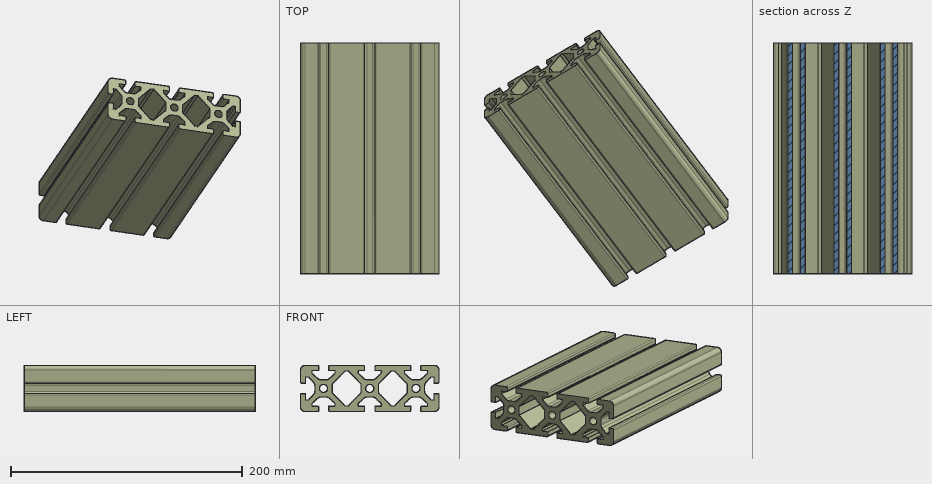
import cadquery as cq

length = 200.0
cell = 40.0
cell_count = 3
width = cell_count * cell
height = cell
corner_radius = 4.0

lip_thickness = 4.5
mouth_half = 4.5
corner_mouth_half = 4.0
lip_round = 1.2
corner_lip_round = 1.0
chamber_half = 9.8
chamber_wall = 2.5
core_half = 7.5
floor_half = 4.0
floor_round = 3.8

bore_diameter = 6.8
void_half_width = 12.5
void_half_height = 15.0
void_wall_half = 3.8
void_flat_half = 1.5

slot_centres = [(i - (cell_count - 1) / 2) * cell for i in range(cell_count)]
void_centres = [(a + b) / 2 for a, b in zip(slot_centres, slot_centres[1:])]


def extrude(sketch):
    """Extrude an XZ outline over the whole length, centred on Y."""
    return sketch.extrude(length / 2, both=True)


def slot_cutter(left_half, right_half):
    """T-slot opening upward (+Z) in a cell centred on the origin."""
    face = cell / 2
    under_lip = face - lip_thickness
    chamber_bottom = under_lip - chamber_wall
    chamber = extrude(
        cq.Workplane("XZ").polyline([
            (-chamber_half, under_lip),
            (-chamber_half, chamber_bottom),
            (-floor_half, core_half),
            (floor_half, core_half),
            (chamber_half, chamber_bottom),
            (chamber_half, under_lip),
        ]).close()
    ).edges("|Y and <Z").fillet(floor_round)

    round_start = face - lip_round
    mouth = extrude(
        cq.Workplane("XZ")
        .moveTo(-left_half, under_lip)
        .lineTo(-left_half, round_start)
        .radiusArc((-left_half - lip_round, face), -lip_round)
        .lineTo(right_half + lip_round, face)
        .radiusArc((right_half, round_start), -lip_round)
        .lineTo(right_half, under_lip)
        .close()
    )
    return chamber.union(mouth)


def round_corner_lip(bar, side):
    """Round the inner edges of the longer lips at one end (side = -1 or 1)."""
    edge_x = side * (slot_centres[-1] + corner_mouth_half)
    edge_z = height / 2 - lip_thickness
    for z in (-edge_z, edge_z):
        bar = bar.edges(cq.NearestToPointSelector((edge_x, 0, z))).fillet(corner_lip_round)
    return bar


def turned(cutter, angle):
    """Turn a cutter about the Y axis."""
    return cutter.rotate((0, 0, 0), (0, 1, 0), angle)


profile = cq.Workplane("XY").box(width, length, height).edges("|Y").fillet(corner_radius)

for x in slot_centres:
    left_half = corner_mouth_half if x == slot_centres[0] else mouth_half
    right_half = corner_mouth_half if x == slot_centres[-1] else mouth_half
    upper_slot = slot_cutter(left_half, right_half).translate((x, 0, 0))
    profile = profile.cut(upper_slot).cut(upper_slot.mirror("XY"))
for side in (-1, 1):
    profile = round_corner_lip(profile, side)

side_slot = slot_cutter(mouth_half, mouth_half)
profile = profile.cut(turned(side_slot, -90).translate((slot_centres[0], 0, 0)))
profile = profile.cut(turned(side_slot, 90).translate((slot_centres[-1], 0, 0)))

for x in slot_centres:
    profile = profile.cut(extrude(cq.Workplane("XZ").center(x, 0).circle(bore_diameter / 2)))

for x in void_centres:
    outline = cq.Workplane("XZ").center(x, 0).polyline([
        (-void_half_width, -void_wall_half),
        (-void_half_width, void_wall_half),
        (-void_flat_half, void_half_height),
        (void_flat_half, void_half_height),
        (void_half_width, void_wall_half),
        (void_half_width, -void_wall_half),
        (void_flat_half, -void_half_height),
        (-void_flat_half, -void_half_height),
    ]).close()
    profile = profile.cut(extrude(outline))

result = profile